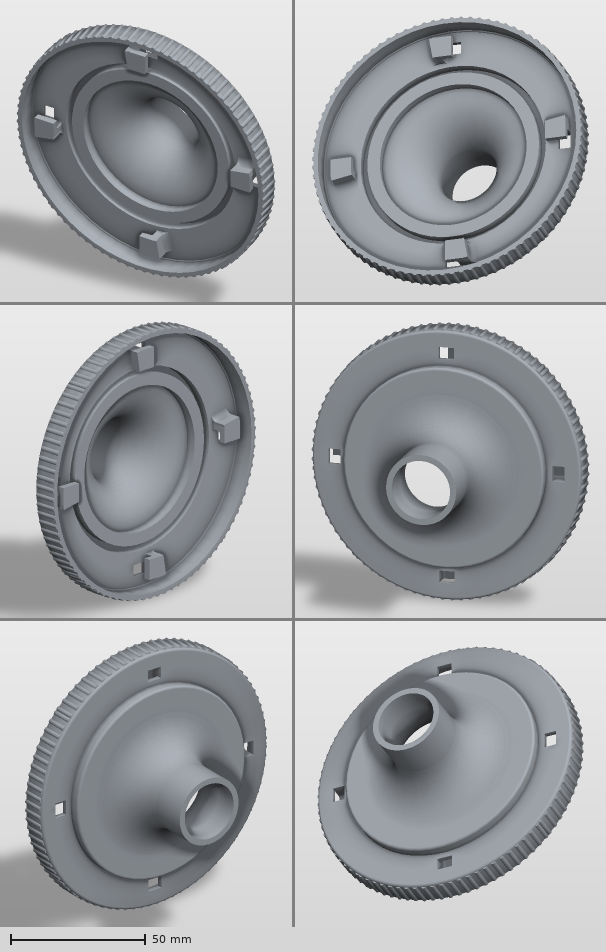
import cadquery as cq
import math

total_length = 44.3
disc_height = 10.0
flange_height = 4.3
neck_length = 15.0
bell_radius = total_length - disc_height - flange_height - neck_length
edge_fillet = 1.0
floor_depth = 8.0
groove_depth = 4.0

overall_radius = 52.5
disc_radius = 52.0
flange_radius = 38.8
neck_radius = 13.5
bore_radius = 11.2
cavity_radius = 50.3
cavity_fillet = 0.5
groove_outer_radius = 36.0
groove_inner_radius = 33.4

quadrants = 4
quadrant_angle = 360 / quadrants
ribs_per_quadrant = 23
rib_pitch = 4.0
first_rib_angle = 44.0
rib_radius = 1.0
rib_length = disc_height - edge_fillet
rib_center_radius = (overall_radius - rib_radius) / math.cos(math.radians(rib_pitch / 2))

hook_height = 6.5
hook_width = 8.0
hook_outer_radius = 45.7
hook_tip_x = 1.2
arm_thickness = 2.5
arm_overhang = 4.1
arm_fillet = 1.0
brace_angle = 10.0
brace_face_offset = 0.5
brace_thickness = 2.0
brace_outer_radius = 46.0
brace_fillet = 2.2
slot_width = 4.7
slot_end_x = 3.0

disc_back = disc_height
flange_back = disc_back + flange_height
bell_center_radius = neck_radius + bell_radius
bell_center_y = flange_back + bell_radius
bell_inner_radius = bell_center_radius - bore_radius
leg_inner_x = hook_tip_x - arm_overhang


def arc_middle(radius):
    """Middle of the quarter arc of the bell wall, facing the axis and the rim."""
    reach = radius * math.sqrt(0.5)
    return (bell_center_radius - reach, bell_center_y - reach)


def make_body():
    """Revolved disc, flange, bell and neck, with the cavity and the bell mouth hollow."""
    return (
        cq.Workplane("XY")
        .moveTo(cavity_radius, 0)
        .lineTo(disc_radius, 0)
        .lineTo(disc_radius, disc_back - edge_fillet)
        .radiusArc((disc_radius - edge_fillet, disc_back), -edge_fillet)
        .lineTo(flange_radius, disc_back)
        .lineTo(flange_radius, flange_back - edge_fillet)
        .radiusArc((flange_radius - edge_fillet, flange_back), -edge_fillet)
        .lineTo(bell_center_radius, flange_back)
        .threePointArc(arc_middle(bell_radius), (neck_radius, bell_center_y))
        .lineTo(neck_radius, total_length)
        .lineTo(bore_radius, total_length)
        .lineTo(bore_radius, bell_center_y)
        .threePointArc(
            arc_middle(bell_inner_radius),
            (bell_center_radius, bell_center_y - bell_inner_radius),
        )
        .lineTo(bell_center_radius, floor_depth)
        .lineTo(groove_inner_radius, floor_depth)
        .lineTo(groove_inner_radius, floor_depth + groove_depth)
        .lineTo(groove_outer_radius, floor_depth + groove_depth)
        .lineTo(groove_outer_radius, floor_depth)
        .lineTo(cavity_radius - cavity_fillet, floor_depth)
        .radiusArc((cavity_radius, floor_depth - cavity_fillet), -cavity_fillet)
        .close()
        .revolve(360, (0, 0, 0), (0, 1, 0))
    )


def make_ribs():
    """Round grip ribs around the disc, sunk into its side."""
    angles = [
        quadrant * quadrant_angle + first_rib_angle + rib * rib_pitch
        for quadrant in range(quadrants)
        for rib in range(ribs_per_quadrant)
    ]
    centers = [
        (
            rib_center_radius * math.cos(math.radians(angle)),
            rib_center_radius * math.sin(math.radians(angle)),
        )
        for angle in angles
    ]
    return cq.Workplane("XZ").pushPoints(centers).circle(rib_radius).extrude(-rib_length)


def make_hook():
    """L-shaped hook: a leg on the floor, an arm over the slot and a turned brace behind the leg."""
    hook_front = floor_depth - hook_height
    arm_back = hook_front + arm_thickness
    leg_outer_x = -hook_outer_radius * math.sin(math.radians(brace_angle)) + brace_thickness
    hook_inner_radius = hook_outer_radius - hook_width
    leg_and_arm = (
        cq.Workplane("XY", origin=(0, 0, hook_inner_radius))
        .moveTo(leg_outer_x, hook_front)
        .lineTo(hook_tip_x, hook_front)
        .lineTo(hook_tip_x, arm_back)
        .lineTo(leg_inner_x + arm_fillet, arm_back)
        .radiusArc((leg_inner_x, arm_back + arm_fillet), arm_fillet)
        .lineTo(leg_inner_x, floor_depth - arm_fillet)
        .radiusArc((leg_inner_x + arm_fillet, floor_depth), arm_fillet)
        .lineTo(leg_outer_x, floor_depth)
        .close()
        .extrude(hook_width)
    )
    brace = (
        cq.Workplane("XY", origin=(0, 0, brace_outer_radius - hook_width))
        .moveTo(brace_face_offset + brace_thickness, hook_front)
        .lineTo(brace_face_offset, hook_front)
        .lineTo(brace_face_offset, floor_depth - brace_fillet)
        .radiusArc((brace_face_offset - brace_fillet, floor_depth), -brace_fillet)
        .lineTo(brace_face_offset + brace_thickness, floor_depth)
        .close()
        .extrude(hook_width)
        .rotate((0, 0, 0), (0, 1, 0), -brace_angle)
    )
    return leg_and_arm.union(brace)


def make_slot():
    """Slot through the floor, from the leg to just past the tip of the arm."""
    slot_front = floor_depth - arm_fillet
    return (
        cq.Workplane("XY")
        .box(slot_end_x - leg_inner_x, disc_height - slot_front, slot_width, centered=False)
        .translate((leg_inner_x, slot_front, hook_outer_radius - slot_width))
    )


hook = make_hook()
slot = make_slot()
result = make_body().union(make_ribs())
for quadrant in range(quadrants):
    turn = quadrant * quadrant_angle
    result = result.union(hook.rotate((0, 0, 0), (0, 1, 0), turn))
    result = result.cut(slot.rotate((0, 0, 0), (0, 1, 0), turn))